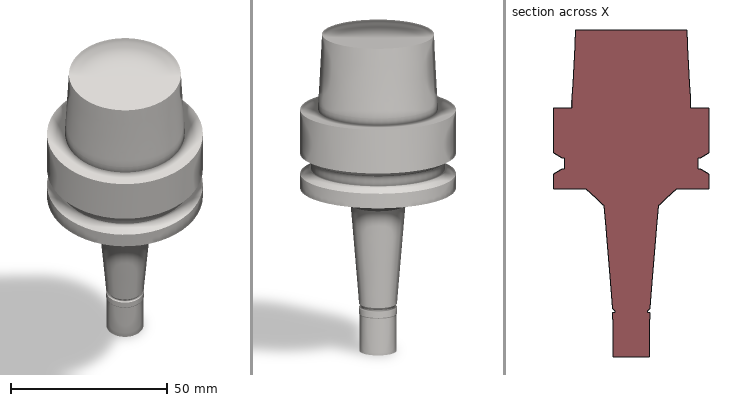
import cadquery as cq

flange_dia = 50.0
groove_dia = 42.9
groove_mouth_dia = 44.3
pilot_dia = 38.3
taper_tip_dia = 35.9
cone_top_dia = 29.2
nose_top_dia = 17.6
nose_tip_dia = 12.2
neck_dia = 10.5
collar_dia = 12.3
tip_dia = 12.0

total_height = 105.0
flange_top = 80.0
flange_bottom = 54.0
pilot_height = 2.2
groove_center = 62.2
groove_floor_width = 3.4
groove_wall_height = 1.7
cone_bottom = 48.6
nose_bottom = 15.8
neck_top = 14.9
collar_top = 14.5
collar_bottom = 12.5
collar_chamfer = 0.3

groove_floor_top = groove_center + groove_floor_width / 2
groove_floor_bottom = groove_center - groove_floor_width / 2

profile = [
    (tip_dia, 0),
    (tip_dia, collar_bottom - collar_chamfer),
    (collar_dia, collar_bottom),
    (collar_dia, collar_top),
    (neck_dia, collar_top),
    (neck_dia, neck_top),
    (nose_tip_dia, nose_bottom),
    (nose_top_dia, cone_bottom),
    (cone_top_dia, flange_bottom),
    (flange_dia, flange_bottom),
    (flange_dia, groove_floor_bottom - groove_wall_height),
    (groove_mouth_dia, groove_floor_bottom),
    (groove_dia, groove_floor_bottom),
    (groove_dia, groove_floor_top),
    (groove_mouth_dia, groove_floor_top),
    (flange_dia, groove_floor_top + groove_wall_height),
    (flange_dia, flange_top),
    (pilot_dia, flange_top),
    (pilot_dia, flange_top + pilot_height),
    (taper_tip_dia, total_height),
]

outline = cq.Workplane("XZ").moveTo(0, 0)
for diameter, height in profile:
    outline = outline.lineTo(diameter / 2, height)

result = outline.lineTo(0, total_height).close().revolve(360, (0, 0, 0), (0, 1, 0))